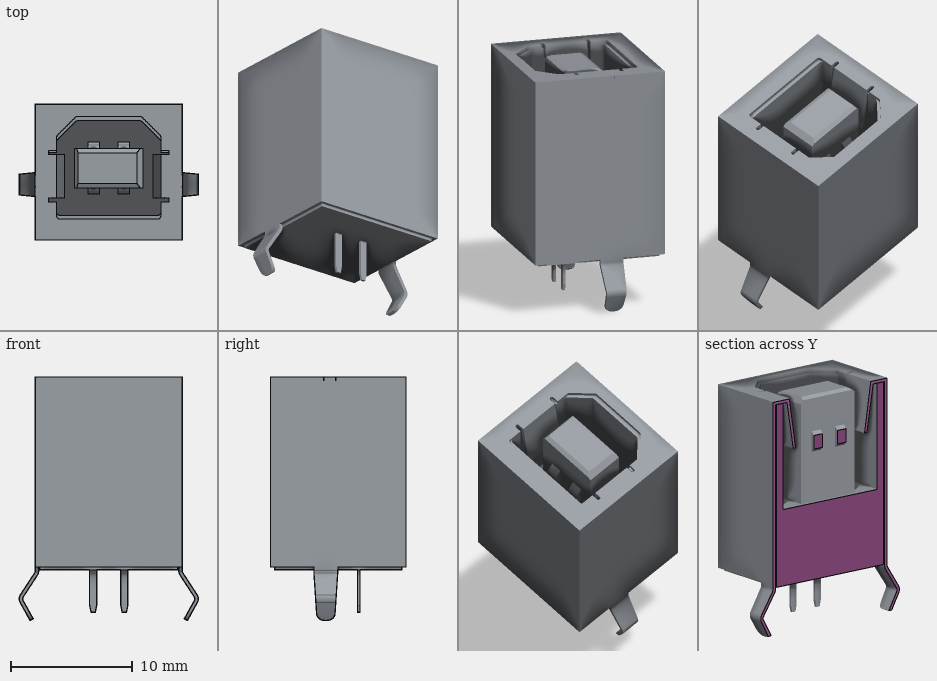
import cadquery as cq
import math


shell_width = 12.08
shell_length = 11.15
shell_height = 15.62
sheet = 0.3

opening_width = 8.55
opening_front = -3.85
opening_back = 4.58
opening_chamfer = 1.62
opening_radius = 0.25

finger_front = -2.12
finger_back = 1.45
finger_reach = 0.65
finger_drop = 4.0
relief_width = 0.32
relief_reach = 0.68
relief_radius = 0.12

nick_places = (-0.2, -1.2)
nick_size = 0.05

clip_center = -1.02
clip_width = 1.98
clip_taper = 0.25
clip_tip_radius = 0.65
clip_neck = 0.4
clip_out_angle = 33.0
clip_in_angle = 29.0
clip_elbow_depth = 2.58
clip_neck_radius = 0.4
clip_elbow_radius = 0.3
overall_height = 20.0
clip_depth = overall_height - shell_height

insulator_inset = 0.35
insulator_foot = 0.22
front_ledge = 0.3
back_ledge = 0.35
cavity_depth = 9.0
cavity_radius = 0.25

tongue_width = 5.65
tongue_front = -1.28
tongue_back = 1.95
bevel_y = 0.35
bevel_y_drop = 0.2
bevel_left = 0.3
bevel_left_drop = 0.52
bevel_right = 0.52
bevel_right_drop = 0.35

contact_pitch = 2.48
contact_width = 0.95
contact_top = 3.0
contact_ramp = 0.28
contact_crown = 0.25
contact_lean = 45.0
pin_pitch = 2.55
pin_width = 0.6
pin_thickness = 0.22
pin_y = 1.68
pin_length = 3.72
pin_taper_length = 0.58
pin_tip_width = 0.35

insulator_top = shell_height - sheet
half_opening = opening_width / 2
rim_x = shell_width / 2


def box(x_min, x_max, y_min, y_max, z_min, z_max):
    """Block given by its limits along the three axes."""
    size = (x_max - x_min, y_max - y_min, z_max - z_min)
    return cq.Workplane("XY").box(*size, centered=False).translate((x_min, y_min, z_min))


def mirrored_pair(body):
    """Two copies of a shape, one on each side of X = 0."""
    return (body, body.mirror("YZ"))


def plug_prism(front, back, corner_radius, z_min, z_max):
    """Plug-shaped prism: two chamfered corners at the back, rounded upright edges."""
    chamfer_start = back - opening_chamfer
    outline = [
        (-half_opening, front),
        (half_opening, front),
        (half_opening, chamfer_start),
        (half_opening - opening_chamfer, back),
        (-half_opening + opening_chamfer, back),
        (-half_opening, chamfer_start),
    ]
    prism = cq.Workplane("XY").workplane(offset=z_min).polyline(outline).close().extrude(z_max - z_min)
    return prism.edges("|Z").fillet(corner_radius)


def finger_relief(y_min, y_max):
    """Slot through the top sheet beside the -X finger, with rounded outer end."""
    slot = box(-half_opening - relief_reach, -half_opening + relief_radius,
               y_min, y_max, insulator_top, shell_height)
    return slot.edges("|Z and <X").fillet(relief_radius)


def finger():
    """The -X spring finger: a sheet strip leaning into the opening."""
    root_x = -half_opening
    tip_x = root_x + finger_reach
    tip_z = insulator_top - finger_drop
    profile = [
        (root_x, shell_height),
        (tip_x, tip_z),
        (tip_x - sheet, tip_z),
        (root_x - sheet, insulator_top),
        (root_x - sheet, shell_height),
    ]
    strip = cq.Workplane("XZ").polyline(profile).close().extrude(finger_back - finger_front)
    return strip.translate((0, finger_back, 0))


def clip():
    """The -X board clip: a bent sheet strip that tapers to a rounded tip."""
    out_angle = math.radians(clip_out_angle)
    in_angle = math.radians(clip_in_angle)
    elbow_x = -rim_x - (clip_elbow_depth - clip_neck) * math.tan(out_angle)
    tip_x = elbow_x + (clip_depth - clip_elbow_depth) * math.tan(in_angle)
    outer = [(-rim_x, 0), (-rim_x, -clip_neck), (elbow_x, -clip_elbow_depth), (tip_x, -clip_depth)]

    leans = [(0, 0), (0, out_angle), (out_angle, -in_angle), (-in_angle, -in_angle)]
    inner = []
    for (x, z), (before, after) in zip(outer, leans):
        middle = (before + after) / 2
        offset = sheet / math.cos((before - after) / 2)
        inner.append((x + offset * math.cos(middle), z - offset * math.sin(middle)))

    strip = cq.Workplane("XZ").polyline(outer + inner[::-1]).close().extrude(clip_width / 2, both=True)
    bends = (
        (outer[1], inner[1], clip_neck_radius),
        (inner[2], outer[2], clip_elbow_radius),
    )
    for inside, outside, radius in bends:
        strip = strip.edges(cq.NearestToPointSelector((inside[0], 0, inside[1]))).fillet(radius)
        strip = strip.edges(cq.NearestToPointSelector((outside[0], 0, outside[1]))).fillet(radius + sheet)

    tip_half = clip_width / 2 - clip_taper
    outline = [
        (-clip_width / 2, 0),
        (clip_width / 2, 0),
        (clip_width / 2, -clip_neck),
        (tip_half, -clip_depth),
        (-tip_half, -clip_depth),
        (-clip_width / 2, -clip_neck),
    ]
    face = cq.Workplane("YZ").polyline(outline).close().extrude(-shell_width)
    face = face.edges("|X and <Z").fillet(clip_tip_radius)
    return strip.intersect(face).translate((0, clip_center, 0))


def make_shell():
    """Open-bottomed sheet-metal box with plug opening, spring fingers and board clips."""
    shell = cq.Workplane("XY").box(shell_width, shell_length, shell_height, centered=(True, True, False))
    shell = shell.faces("<Z").shell(-sheet)
    shell = shell.cut(plug_prism(opening_front, opening_back, opening_radius, insulator_top, shell_height))

    for relief in (
        finger_relief(finger_back, finger_back + relief_width),
        finger_relief(finger_front - relief_width, finger_front),
    ):
        for slot in mirrored_pair(relief):
            shell = shell.cut(slot)

    for nick_y in nick_places:
        nick = box(-rim_x, -rim_x + nick_size, nick_y - nick_size / 2, nick_y + nick_size / 2,
                   insulator_top, shell_height)
        for cutter in mirrored_pair(nick):
            shell = shell.cut(cutter)

    for part in mirrored_pair(finger()) + mirrored_pair(clip()):
        shell = shell.union(part)
    return shell


def finger_pocket():
    """Pocket beside the cavity, down to its floor, that leaves room for the -X finger."""
    return box(-half_opening - relief_reach, -half_opening + finger_reach,
               finger_front - relief_width, finger_back + relief_width / 2,
               insulator_top - cavity_depth, insulator_top)


def tongue():
    """Tongue standing on the cavity floor, bevelled along all four top edges."""
    half = tongue_width / 2
    floor = insulator_top - cavity_depth
    long_profile = [
        (-half, floor),
        (half, floor),
        (half, insulator_top - bevel_right_drop),
        (half - bevel_right, insulator_top),
        (-half + bevel_left, insulator_top),
        (-half, insulator_top - bevel_left_drop),
    ]
    cross_profile = [
        (tongue_front, floor),
        (tongue_back, floor),
        (tongue_back, insulator_top - bevel_y_drop),
        (tongue_back - bevel_y, insulator_top),
        (tongue_front + bevel_y, insulator_top),
        (tongue_front, insulator_top - bevel_y_drop),
    ]
    along_x = cq.Workplane("XZ").polyline(long_profile).close().extrude(shell_length, both=True)
    along_y = cq.Workplane("YZ").polyline(cross_profile).close().extrude(shell_width, both=True)
    return along_x.intersect(along_y)


def contact_bows():
    """Bowed contacts on the front and back of the tongue, one pair at each side of X = 0."""
    lean = math.radians(contact_lean)
    ramp_height = contact_ramp / math.tan(lean)
    crown_half_height = contact_crown / math.tan(lean / 2)
    top = insulator_top - contact_top
    crown_top = top - ramp_height
    apex = crown_top - crown_half_height
    crown_bottom = apex - crown_half_height
    bottom = crown_bottom - ramp_height

    bows = []
    for root, outward in ((tongue_front, -1), (tongue_back, 1)):
        ramp_end = root + outward * contact_ramp
        crown_end = ramp_end + outward * contact_crown
        profile = cq.Workplane("YZ").moveTo(root, top).lineTo(ramp_end, crown_top)
        profile = profile.threePointArc((crown_end, apex), (ramp_end, crown_bottom))
        bow = profile.lineTo(root, bottom).close().extrude(contact_width / 2, both=True)
        for side in (-1, 1):
            bows.append(bow.translate((side * contact_pitch / 2, 0, 0)))
    return bows


def pins():
    """Flat solder pins with tapered tips."""
    taper_z = -pin_length + pin_taper_length
    outline = [
        (-pin_width / 2, 0),
        (-pin_width / 2, taper_z),
        (-pin_tip_width / 2, -pin_length),
        (pin_tip_width / 2, -pin_length),
        (pin_width / 2, taper_z),
        (pin_width / 2, 0),
    ]
    pin = cq.Workplane("XZ").polyline(outline).close().extrude(pin_thickness / 2, both=True)
    return [pin.translate((side * pin_pitch / 2, pin_y, 0)) for side in (-1, 1)]


def make_insulator():
    """Plastic block inside the shell with plug cavity, tongue, contacts and pins."""
    half_x = rim_x - insulator_inset
    half_y = shell_length / 2 - insulator_inset
    insulator = box(-half_x, half_x, -half_y, half_y, -insulator_foot, insulator_top)

    cavity = plug_prism(opening_front + front_ledge, opening_back - back_ledge, cavity_radius,
                        insulator_top - cavity_depth, insulator_top)
    insulator = insulator.cut(cavity)
    for pocket in mirrored_pair(finger_pocket()):
        insulator = insulator.cut(pocket)

    insulator = insulator.union(tongue())
    for part in contact_bows() + pins():
        insulator = insulator.union(part)
    return insulator


shell = make_shell()
insulator = make_insulator()

result = cq.Compound.makeCompound([shell.solids().val(), insulator.solids().val()])